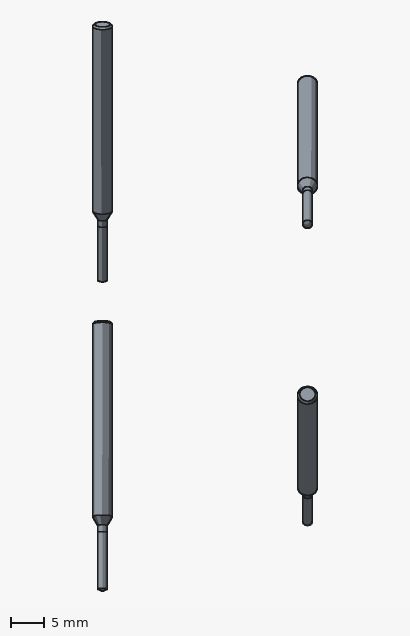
import cadquery as cq
import math

total_length = 41.0
shank_diameter = 3.0
drill_diameter = 1.45
point_angle = 130.0
joint_height = 8.98
neck_top_height = 10.0
shoulder_angle = 30.0
end_chamfer = 0.33

shank_radius = shank_diameter / 2
drill_radius = drill_diameter / 2
point_height = drill_radius / math.tan(math.radians(point_angle / 2))
shoulder_height = (shank_radius - drill_radius) / math.tan(math.radians(shoulder_angle))
shoulder_top_height = neck_top_height + shoulder_height


def revolve_profile(outline):
    """Turn a closed (distance toward -Y, height) outline into a solid around Z."""
    points = [(-radius, height) for radius, height in outline]
    return cq.Workplane("YZ").polyline(points).close().revolve(360, (0, 0), (0, 1))


def make_drill():
    """Slim drill with a conical tip, ending flat at the joint."""
    return revolve_profile([
        (0, 0),
        (drill_radius, point_height),
        (drill_radius, joint_height),
        (0, joint_height),
    ])


def make_shank():
    """Straight neck, conical shoulder and round shank with a chamfered end."""
    return revolve_profile([
        (0, joint_height),
        (drill_radius, joint_height),
        (drill_radius, neck_top_height),
        (shank_radius, shoulder_top_height),
        (shank_radius, total_length - end_chamfer),
        (shank_radius - end_chamfer, total_length),
        (0, total_length),
    ])


drill = make_drill()
shank = make_shank()

result = cq.Compound.makeCompound([drill.val(), shank.val()])